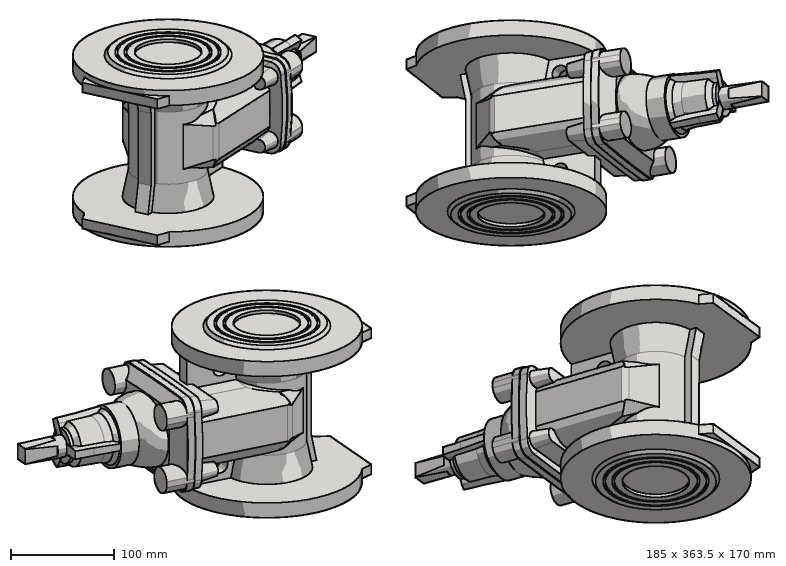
import cadquery as cq
import math


half_length = 85.0
overall_length = 363.5
flange_diameter = 185.0
flange_radius = flange_diameter / 2
flange_inner_z = 66.0
flange_outer_z = 81.8
raised_base_radius = 61.8
raised_top_radius = 58.5
bore_diameter = 65.0
groove_radii = (41.5, 50.0)
groove_width = 2.0
groove_depth = 1.0
pipe_radius = 38.5
cone_start_z = 37.8
cone_end_radius = 44.5

foot_top_z = 76.5
foot_y = -flange_radius
foot_shoulder_y = -79.5
foot_half_width = 42.0
foot_shoulder_half_width = 47.5
web_thickness = 14.5
front_web_height = 6.5
eye_diameter = 16.0
eye_y = 55.3
eye_z = 51.0

lug_tip_y = 85.8
skirt_y = 104.5
body_plate_y = 107.0
joint_y = 115.2
cover_plate_y = 123.5
dome_base_y = 133.8
boss_top_y = 146.0
collar_y = 158.0
neck_y = 177.8
neck_top_y = 227.0
square_y = 236.5
tip_y = overall_length - flange_radius

chest_half_x = 53.0
chest_half_z = 35.5
chest_edge_z = 19.0
chest_flat_half_x = 29.0
shoulder_blend = 11.0
tangent_x = 29.0
slope_start = (40.5, 36.0)
slope_end = (-23.3, 24.0)
bevel_pipe_point = (29.0, -25.0, 24.0)
bevel_side_point = (53.0, 5.5, 19.0)
bevel_face_point = (41.8, 7.3, 31.0)
bevel_reach = 72.7

corner_x = 52.0
corner_z = 35.5
side_bow_x = 2.0
side_bow_z = 0.7
cover_bulge_x = 67.2
cover_bulge_z = 49.8
plate_step = 1.0
cap_shrink_x = 19.0
cap_shrink_z = 12.5
skirt_shrink = 13.5

lug_x = 52.0
bolt_z = 33.0
lug_base_radius = 9.5
lug_tip_radius = 7.0
boss_x = 52.7
boss_z = 32.7
boss_radius = 13.0
boss_flat_x = 65.5

dome_half_x = 46.0
dome_half_z = 36.5
dome_mid_half_x = 44.7
dome_mid_half_z = 34.5
collar_radius = 31.3
neck_profile = (
    (28.0, neck_y), (24.7, 183.0), (23.3, 192.0), (22.5, 217.0), (17.8, 222.5), (17.8, 226.0)
)
rib_count = 3
rib_root_radius = 21.8
rib_base_half_width = 5.5
rib_outer_half_width = 3.5
rib_top_radius = 27.5
rib_bend_radius = 28.5
rib_bend_y = 207.0
rib_foot_radius = 30.5
stem_diameter = 22.0
square_tip = 16.0
square_root = 19.5


def section(y):
    """Workplane across the stem axis, with local axes X and Z."""
    return cq.Workplane("XZ", origin=(0, y, 0))


def mirrored(shape, plane):
    return shape.union(shape.mirror(plane))


def prism(outline, y_low, y_high, *sizes):
    """Extrude an outline along the stem axis between two stations."""
    return outline(section(y_low), *sizes).extrude(y_low - y_high)


def plate_outline(plane, bulge_x, bulge_z, inset=0.0):
    """Rectangle with bowed sides and round corners."""
    x, z = corner_x - inset, corner_z - inset
    side_x = bulge_x - side_bow_x
    side_z = bulge_z - side_bow_z
    mid_x = x + (side_x - x) * math.sqrt(0.5)
    mid_z = z + (side_z - z) * math.sqrt(0.5)
    return (
        plane.moveTo(side_x, -z)
        .threePointArc((bulge_x, 0), (side_x, z))
        .threePointArc((mid_x, mid_z), (x, side_z))
        .threePointArc((0, bulge_z), (-x, side_z))
        .threePointArc((-mid_x, mid_z), (-side_x, z))
        .threePointArc((-bulge_x, 0), (-side_x, -z))
        .threePointArc((-mid_x, -mid_z), (-x, -side_z))
        .threePointArc((0, -bulge_z), (x, -side_z))
        .threePointArc((mid_x, -mid_z), (side_x, -z))
        .close()
    )


def chest_outline(plane):
    """Flat sides joined to flat faces by wide arcs tangent to the faces."""
    x, z = chest_half_x, chest_edge_z
    drop = chest_half_z - z
    run = x - chest_flat_half_x
    radius = (run**2 + drop**2) / (2 * drop)
    mid_angle = (math.pi / 2 + math.asin((radius - drop) / radius)) / 2
    mid_x = chest_flat_half_x + radius * math.cos(mid_angle)
    mid_z = chest_half_z - radius + radius * math.sin(mid_angle)
    return (
        plane.moveTo(x, -z)
        .lineTo(x, z)
        .threePointArc((mid_x, mid_z), (chest_flat_half_x, chest_half_z))
        .lineTo(-chest_flat_half_x, chest_half_z)
        .threePointArc((-mid_x, mid_z), (-x, z))
        .lineTo(-x, -z)
        .threePointArc((-mid_x, -mid_z), (-chest_flat_half_x, -chest_half_z))
        .lineTo(chest_flat_half_x, -chest_half_z)
        .threePointArc((mid_x, -mid_z), (x, -z))
        .close()
    )


def make_pipe():
    upper = [
        (pipe_radius, cone_start_z), (cone_end_radius, flange_inner_z),
        (flange_radius, flange_inner_z), (flange_radius, flange_outer_z),
        (raised_base_radius, flange_outer_z), (raised_top_radius, half_length), (0, half_length),
    ]
    lower = [(radius, -z) for radius, z in reversed(upper)]
    body = (
        cq.Workplane("XZ")
        .polyline(lower + upper)
        .close()
        .revolve(360, (0, 0), (0, 1))
    )
    foot = (
        cq.Workplane("XY", origin=(0, 0, flange_inner_z))
        .polyline([
            (-foot_shoulder_half_width, 0), (-foot_shoulder_half_width, foot_shoulder_y),
            (-foot_half_width, foot_y), (foot_half_width, foot_y),
            (foot_shoulder_half_width, foot_shoulder_y), (foot_shoulder_half_width, 0),
        ])
        .close()
        .extrude(foot_top_z - flange_inner_z)
    )
    return body.union(mirrored(foot, "XY"))


def make_face_recesses():
    """Shallow bore and two sealing grooves in each raised face."""
    recess = (
        cq.Workplane("XY", origin=(0, 0, flange_outer_z))
        .circle(bore_diameter / 2)
        .extrude(half_length - flange_outer_z)
    )
    for radius in groove_radii:
        groove = (
            cq.Workplane("XY", origin=(0, 0, half_length - groove_depth))
            .circle(radius + groove_width / 2)
            .circle(radius - groove_width / 2)
            .extrude(groove_depth)
        )
        recess = recess.union(groove)
    return recess.union(recess.mirror("XY"))


def make_webs():
    """Strip along the front of the pipe and two eyed webs behind it."""
    front_y = -pipe_radius - front_web_height
    front_end_y = -cone_end_radius - front_web_height
    front = (
        cq.Workplane("YZ")
        .polyline([
            (0, -flange_inner_z), (front_end_y, -flange_inner_z), (front_y, -cone_start_z),
            (front_y, cone_start_z), (front_end_y, flange_inner_z), (0, flange_inner_z),
        ])
        .close()
        .extrude(web_thickness / 2, both=True)
    )
    back = (
        cq.Workplane("YZ")
        .rect(flange_radius, 2 * flange_inner_z)
        .extrude(web_thickness / 2, both=True)
        .translate((0, flange_radius / 2, 0))
    )
    eyes = (
        cq.Workplane("YZ")
        .pushPoints([(eye_y, eye_z), (eye_y, -eye_z)])
        .circle(eye_diameter / 2)
        .extrude(web_thickness, both=True)
    )
    return front.union(back.cut(eyes))


def make_chest_bevels():
    """Cutters that slant off the four lower corners of the chest."""
    start = cq.Vector(*bevel_pipe_point)
    along = cq.Vector(*bevel_side_point) - start
    normal = along.cross(cq.Vector(*bevel_face_point) - start)
    plane = cq.Plane(origin=start.toTuple(), xDir=along.toTuple(), normal=normal.toTuple())
    cutter = cq.Workplane(plane).rect(bevel_reach, bevel_reach).extrude(bevel_reach)
    return mirrored(mirrored(cutter, "XY"), "YZ")


def make_chest():
    """Oval chest whose lower end narrows along planes tangent to the pipe."""
    tangent_y = -math.sqrt(pipe_radius**2 - tangent_x**2)
    wall_x = chest_half_x
    wall_y = tangent_y + (wall_x - tangent_x) * tangent_x / -tangent_y
    shoulder_box = cq.selectors.BoxSelector(
        (-2 * wall_x, wall_y - shoulder_blend, -chest_half_z),
        (2 * wall_x, wall_y + shoulder_blend, chest_half_z),
    )
    plan = (
        cq.Workplane("XY", origin=(0, 0, -chest_half_z))
        .polyline([
            (-tangent_x, tangent_y), (tangent_x, tangent_y), (wall_x, wall_y),
            (wall_x, body_plate_y), (-wall_x, body_plate_y), (-wall_x, wall_y),
        ])
        .close()
        .extrude(2 * chest_half_z)
        .edges("|Z")
        .edges(shoulder_box)
        .fillet(shoulder_blend)
    )
    (y_start, z_start), (y_end, z_end) = slope_start, slope_end
    side = (
        cq.Workplane("YZ")
        .polyline([
            (y_end, -z_end), (y_start, -z_start), (body_plate_y, -z_start),
            (body_plate_y, z_start), (y_start, z_start), (y_end, z_end),
        ])
        .close()
        .extrude(chest_half_x, both=True)
    )
    oval = prism(chest_outline, tangent_y, body_plate_y)
    return oval.intersect(plan).intersect(side).cut(make_chest_bevels())


def make_plates():
    """Body plate with a sloping underside, cover plate and the sloping cap on it."""
    body_plate = prism(
        plate_outline, body_plate_y, joint_y, cover_bulge_x - plate_step, cover_bulge_z - plate_step)
    cover_plate = prism(plate_outline, joint_y, cover_plate_y, cover_bulge_x, cover_bulge_z)
    cap = plate_outline(section(cover_plate_y), cover_bulge_x - plate_step, cover_bulge_z - plate_step)
    cap = plate_outline(
        cap.workplane(offset=cover_plate_y - dome_base_y),
        cover_bulge_x - cap_shrink_x, cover_bulge_z - cap_shrink_z, cap_shrink_z,
    ).loft(ruled=True)
    skirt = plate_outline(section(body_plate_y), cover_bulge_x - plate_step, cover_bulge_z - plate_step)
    skirt = plate_outline(
        skirt.workplane(offset=body_plate_y - skirt_y),
        cover_bulge_x - skirt_shrink, cover_bulge_z - skirt_shrink, skirt_shrink,
    ).loft(ruled=True)
    return body_plate.union(cover_plate).union(cap).union(skirt)


def make_lugs():
    """Tapered bar under the body plate on each side of the chest."""
    lug = (
        section(body_plate_y)
        .center(0, bolt_z)
        .slot2D(2 * (lug_x + lug_base_radius), 2 * lug_base_radius)
        .workplane(offset=body_plate_y - lug_tip_y)
        .slot2D(2 * (lug_x + lug_tip_radius), 2 * lug_tip_radius)
        .loft(ruled=True)
    )
    return mirrored(lug, "XY")


def make_bosses():
    """Four round bolt bosses, trimmed flat at the sides."""
    height = boss_top_y - joint_y
    bosses = (
        section(joint_y)
        .rect(2 * boss_x, 2 * boss_z, forConstruction=True)
        .vertices()
        .circle(boss_radius)
        .extrude(-height)
    )
    keep = section(joint_y).rect(2 * boss_flat_x, 2 * (boss_z + boss_radius)).extrude(-height)
    return bosses.intersect(keep)


def make_bonnet():
    dome = (
        section(dome_base_y)
        .ellipse(dome_half_x, dome_half_z)
        .workplane(offset=dome_base_y - boss_top_y)
        .ellipse(dome_mid_half_x, dome_mid_half_z)
        .workplane(offset=boss_top_y - collar_y)
        .ellipse(collar_radius, collar_radius)
        .loft()
    )
    collar = section(collar_y).circle(collar_radius).extrude(collar_y - neck_y)
    neck = (
        cq.Workplane("XY")
        .polyline([(0, neck_y), *neck_profile, (0, neck_profile[-1][1])])
        .close()
        .revolve(360, (0, 0), (0, 1))
    )
    return dome.union(collar).union(neck)


def make_ribs():
    """Three upright ribs around the neck, the first one on the -X side."""
    cross_section = (
        section(neck_y)
        .polyline([
            (0, -rib_base_half_width), (-rib_root_radius, -rib_base_half_width),
            (-rib_foot_radius, -rib_outer_half_width), (-rib_foot_radius, rib_outer_half_width),
            (-rib_root_radius, rib_base_half_width), (0, rib_base_half_width),
        ])
        .close()
        .extrude(neck_y - neck_top_y)
    )
    taper = (
        cq.Workplane("XY")
        .polyline([
            (0, neck_y), (-rib_foot_radius, neck_y), (-rib_bend_radius, rib_bend_y),
            (-rib_top_radius, neck_top_y), (0, neck_top_y),
        ])
        .close()
        .extrude(rib_base_half_width, both=True)
    )
    rib = cross_section.intersect(taper)
    ribs = rib
    for index in range(1, rib_count):
        ribs = ribs.union(rib.rotate((0, 0, 0), (0, 1, 0), index * 360 / rib_count))
    return ribs


def make_stem():
    """Round stem with a tapered square end."""
    shank = section(neck_y).circle(stem_diameter / 2).extrude(neck_y - square_y)
    rod = section(square_y).circle(stem_diameter / 2).extrude(square_y - tip_y)
    square = (
        section(square_y)
        .rect(square_root, square_root)
        .workplane(offset=square_y - tip_y)
        .rect(square_tip, square_tip)
        .loft(ruled=True)
    )
    return shank.union(rod.intersect(square))


result = make_pipe()
for feature in (
    make_webs(), make_chest(), make_plates(), make_lugs(),
    make_bosses(), make_bonnet(), make_ribs(), make_stem(),
):
    result = result.union(feature)
result = result.cut(make_face_recesses())